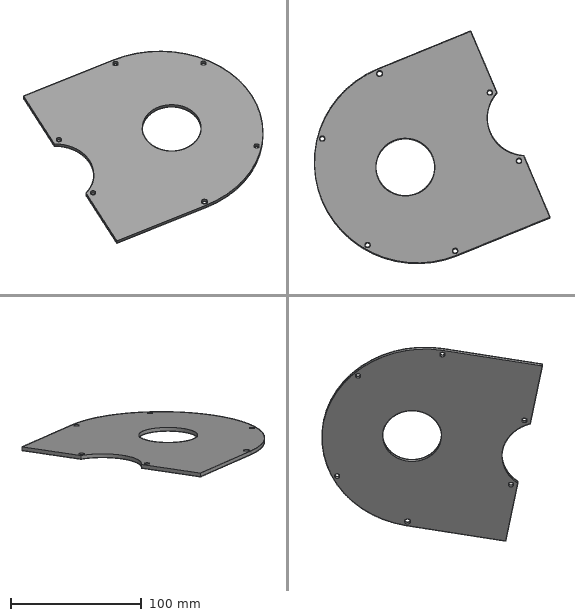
import cadquery as cq
import math

thickness = 3.0
width = 157.5
arc_radius = width / 2
side_length = 77.0
bottom_y = -side_length

opening_diameter = 44.85
opening_y = 10.0

notch_radius = 29.675
notch_centre_y = -90.0
notch_top_y = notch_centre_y + notch_radius
notch_half_width = math.sqrt(notch_radius**2 - (bottom_y - notch_centre_y) ** 2)

screw_diameter = 3.89
large_screw_diameter = 4.39
side_hole_x = 75.0
upper_hole_x = 45.0
upper_hole_y = 60.0
lower_hole_x = 28.85
lower_hole_y = -72.0

small_hole_points = [
    (-side_hole_x, 0),
    (-upper_hole_x, upper_hole_y),
    (upper_hole_x, upper_hole_y),
    (-lower_hole_x, lower_hole_y),
    (lower_hole_x, lower_hole_y),
]
large_hole_points = [(side_hole_x, 0)]


def make_plate():
    """Plate with a round top, straight sides and a notched bottom edge."""
    return (
        cq.Workplane("XY")
        .moveTo(-arc_radius, bottom_y)
        .lineTo(-notch_half_width, bottom_y)
        .threePointArc((0, notch_top_y), (notch_half_width, bottom_y))
        .lineTo(arc_radius, bottom_y)
        .lineTo(arc_radius, 0)
        .threePointArc((0, arc_radius), (-arc_radius, 0))
        .close()
        .extrude(thickness)
    )


def make_through_cutters(points, diameter):
    """Cylinders through the full thickness, one at each point."""
    return cq.Workplane("XY").pushPoints(points).circle(diameter / 2).extrude(thickness)


result = (
    make_plate()
    .cut(make_through_cutters([(0, opening_y)], opening_diameter))
    .cut(make_through_cutters(small_hole_points, screw_diameter))
    .cut(make_through_cutters(large_hole_points, large_screw_diameter))
)